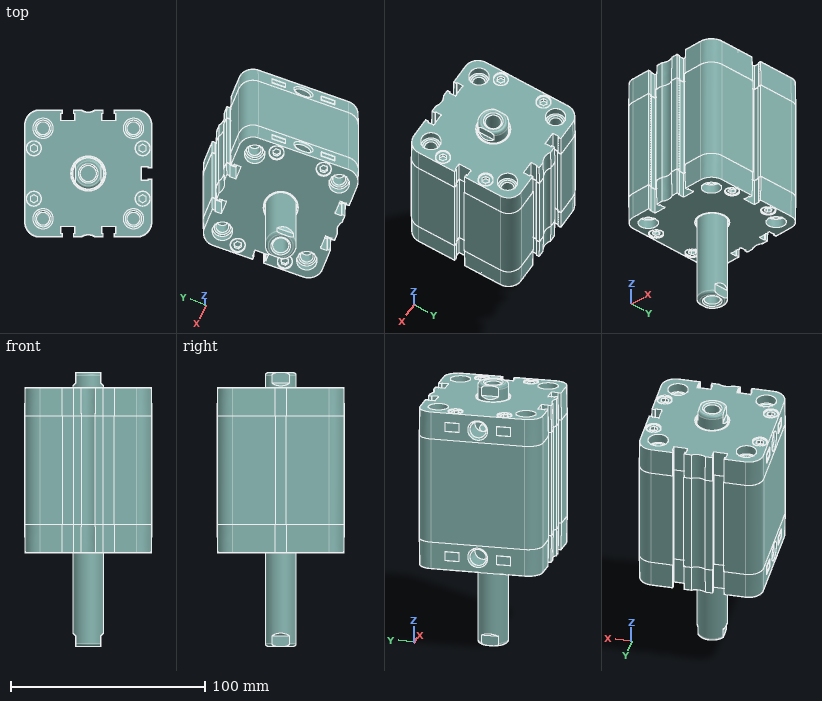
import cadquery as cq
import math


side = 65.5
corner_radius = 7.9
barrel_length = 56.0
cap_thickness = 14.5
cap_draft = 1.0

slot_spacing = 21.0
slot_depth = 5.5
lip_depth = 2.0
barrel_slot_mouth = 5.6
barrel_slot_width = 6.9
cap_slot_clearance = 0.4
groove_width = 7.2
groove_depth = 1.1

mount_spacing = 46.5
mount_bore = 10.5
mount_bore_depth = 5.1
mount_thread = 6.6
mount_chamfer_bore = 8.3

screw_spacing_x = 56.0
screw_spacing_y = 26.0
screw_recess = 7.8
screw_head = 7.5
screw_recess_depth = 1.1
screw_head_sink = 0.5
hex_across_flats = 3.7
hex_depth = 2.1

port_from_end = 7.9
port_thread = 8.6
port_mouth = 10.7
port_depth = 11.3
passage_diameter = 3.5
passage_from_joint = 4.2

label_spacing = 27.2
label_from_end = 7.5
label_width = 7.5
label_height = 4.8
label_depth = 0.3

total_length = 141.0
rod_diameter = 16.0
rod_top_stickout = 7.8
rod_clearance_bore = 16.5
rod_recess = 17.8
rod_recess_mouth = 18.0
rod_recess_depth = 0.4
rod_end_fillet = 1.5
flats_across = 13.1
flats_length = 5.5
rod_thread = 8.3
rod_thread_mouth = 10.0
rod_thread_depth = 19.7

housing_length = barrel_length + 2 * cap_thickness
half_side = side / 2
joint_z = barrel_length / 2
cap_end_z = housing_length / 2
rod_top_z = cap_end_z + rod_top_stickout
rod_bottom_z = rod_top_z - total_length


def cone(large_diameter, small_diameter, center=(0, 0, 0), direction=(0, 0, -1)):
    """45 degree countersink that narrows along the given direction."""
    depth = (large_diameter - small_diameter) / 2
    return cq.Workplane(obj=cq.Solid.makeCone(
        large_diameter / 2, small_diameter / 2, depth, cq.Vector(*center), cq.Vector(*direction)))


def housing_outline():
    """Closed housing section on the XY plane, without the sensor slots."""
    groove_radius = ((groove_width / 2) ** 2 + groove_depth ** 2) / (2 * groove_depth)
    groove_center_y = half_side - groove_depth + groove_radius
    return (
        cq.Sketch()
        .rect(side, side)
        .vertices()
        .fillet(corner_radius)
        .reset()
        .push([(0, groove_center_y), (0, -groove_center_y)])
        .circle(groove_radius, mode="s")
        .reset()
    )


def slot_cutters(clearance, start_z, length):
    """Two T-slots in each Y face and one in the +X face."""
    mouth = barrel_slot_mouth + clearance
    width = barrel_slot_width + clearance
    slot = (
        cq.Workplane("XY")
        .rect(mouth, 2 * lip_depth)
        .extrude(length)
        .union(cq.Workplane("XY")
               .center(0, -(lip_depth + slot_depth) / 2)
               .rect(width, slot_depth - lip_depth)
               .extrude(length))
    )
    slot = slot.translate((0, half_side, start_z))
    cutters = slot.rotate((0, 0, 0), (0, 0, 1), -90)
    for x in (-slot_spacing / 2, slot_spacing / 2):
        y_slot = slot.translate((x, 0, 0))
        cutters = cutters.union(y_slot).union(y_slot.mirror("XZ"))
    return cutters


def make_barrel():
    body = cq.Workplane("XY").workplane(offset=-joint_z).placeSketch(housing_outline()).extrude(barrel_length)
    body = body.cut(slot_cutters(0, -joint_z, barrel_length))
    return body.cut(cq.Workplane("XY").workplane(offset=-joint_z).circle(rod_diameter / 2).extrude(barrel_length))


def cut_rod_opening(cap):
    face = cq.Workplane("XY").workplane(offset=cap_thickness)
    cap = cap.cut(face.circle(rod_clearance_bore / 2).extrude(-cap_thickness))
    cap = cap.cut(face.circle(rod_recess / 2).extrude(-rod_recess_depth))
    return cap.cut(cone(rod_recess_mouth, rod_recess, (0, 0, cap_thickness)))


def cut_mounting_holes(cap):
    face = cq.Workplane("XY").workplane(offset=cap_thickness)
    holes = face.rect(mount_spacing, mount_spacing, forConstruction=True).vertices()
    cap = cap.cut(holes.circle(mount_thread / 2).extrude(-cap_thickness))
    cap = cap.cut(holes.circle(mount_bore / 2).extrude(-mount_bore_depth))
    for x in (-mount_spacing / 2, mount_spacing / 2):
        for y in (-mount_spacing / 2, mount_spacing / 2):
            cap = cap.cut(cone(mount_chamfer_bore, mount_thread, (x, y, cap_thickness - mount_bore_depth)))
    return cap


def cut_screw_heads(cap):
    def at_screws(z):
        plane = cq.Workplane("XY").workplane(offset=z)
        return plane.rect(screw_spacing_x, screw_spacing_y, forConstruction=True).vertices()

    head_top = cap_thickness - screw_head_sink
    ring = at_screws(cap_thickness).circle(screw_recess / 2).circle(screw_head / 2).extrude(-screw_recess_depth)
    sink = at_screws(cap_thickness).circle(screw_head / 2).extrude(-screw_head_sink)
    hex_across_corners = hex_across_flats / math.cos(math.pi / 6)
    hexagon = cq.Sketch().regularPolygon(hex_across_corners / 2, 6)
    socket = at_screws(head_top).placeSketch(hexagon).extrude(-hex_depth)
    return cap.cut(ring).cut(sink).cut(socket)


def cut_port(cap):
    port_z = cap_thickness - port_from_end
    side_plane = cq.Workplane("YZ").workplane(offset=-half_side)
    port = side_plane.center(0, port_z).circle(port_thread / 2).extrude(port_depth)
    mouth = cone(port_mouth, port_thread, (-half_side, 0, port_z), (1, 0, 0))
    passage = side_plane.center(0, passage_from_joint).circle(passage_diameter / 2).extrude(half_side)
    label_z = cap_thickness - label_from_end
    labels = (
        side_plane.center(0, label_z)
        .pushPoints([(-label_spacing / 2, 0), (label_spacing / 2, 0)])
        .rect(label_width, label_height)
        .extrude(label_depth + label_z * math.tan(math.radians(cap_draft)))
    )
    return cap.cut(port).cut(mouth).cut(passage).cut(labels)


def make_cap():
    """End cap with its inner face on z = 0 and its outer face up."""
    cap = cq.Workplane("XY").placeSketch(housing_outline()).extrude(cap_thickness, taper=cap_draft)
    cap = cap.cut(slot_cutters(cap_slot_clearance, 0, cap_thickness))
    cap = cut_rod_opening(cap)
    cap = cut_mounting_holes(cap)
    cap = cut_screw_heads(cap)
    return cut_port(cap)


def rod_flat_cutter():
    """Wrench flat on the +X side of the upper rod end, with a 45 degree run-out."""
    flat_x = flats_across / 2
    outside_x = rod_diameter
    flat_z = rod_top_z - flats_length
    return (
        cq.Workplane("XZ")
        .moveTo(flat_x, rod_top_z)
        .lineTo(flat_x, flat_z)
        .lineTo(outside_x, flat_z - (outside_x - flat_x))
        .lineTo(outside_x, rod_top_z)
        .close()
        .extrude(rod_diameter / 2, both=True)
    )


def make_rod():
    rod = cq.Workplane("XY").workplane(offset=rod_bottom_z).circle(rod_diameter / 2).extrude(total_length)
    rod = rod.faces("<Z or >Z").edges().fillet(rod_end_fillet)
    thread = cq.Workplane("XY").workplane(offset=rod_top_z).circle(rod_thread / 2).extrude(-rod_thread_depth)
    thread = thread.union(cone(rod_thread_mouth, rod_thread, (0, 0, rod_top_z)))
    flat = rod_flat_cutter()
    end_cutter = thread.union(flat).union(flat.mirror("YZ"))
    rod_middle = (0, 0, (rod_top_z + rod_bottom_z) / 2)
    return rod.cut(end_cutter).cut(end_cutter.mirror("XY", rod_middle))


barrel = make_barrel()
cap_at_top = make_cap().translate((0, 0, joint_z))
caps = [cap_at_top, cap_at_top.mirror("XY")]
rod = make_rod()

result = cq.Compound.makeCompound([barrel.val(), *[cap.val() for cap in caps], rod.val()])